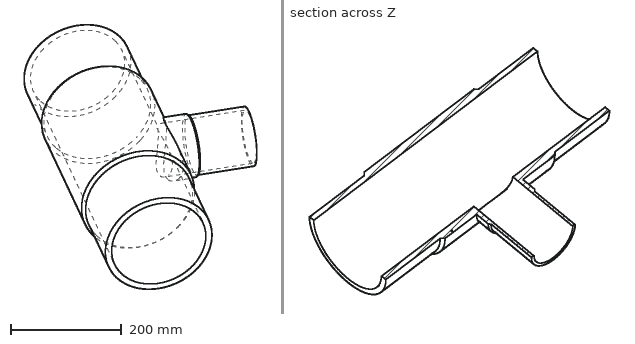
import cadquery as cq

run_length = 560.0
run_diameter = 200.0
wall_ratio = 17.0
run_bore = run_diameter * (1 - 2 / wall_ratio)

sleeve_length = 288.0
sleeve_diameter = 211.5
sleeve_chamfer_length = 7.0
sleeve_chamfer_depth = (sleeve_diameter - run_diameter) / 2

total_width = 351.0
branch_reach = total_width - sleeve_diameter / 2
branch_diameter = 110.0
branch_bore = branch_diameter * (1 - 2 / wall_ratio)
collar_diameter = 116.5
collar_reach = 139.5
collar_chamfer = (collar_diameter - branch_diameter) / 2


def run_cylinder(diameter, length):
    """Cylinder along X, centred on the origin."""
    return cq.Workplane("YZ").circle(diameter / 2).extrude(length / 2, both=True)


def branch_cylinder(diameter, reach):
    """Cylinder from the run axis out along +Y."""
    return cq.Workplane("XZ").circle(diameter / 2).extrude(-reach)


def make_sleeve():
    """Sleeve with conical ends that taper down to the run pipe."""
    half_length = sleeve_length / 2
    shoulder = half_length - sleeve_chamfer_length
    outer_radius = sleeve_diameter / 2
    end_radius = outer_radius - sleeve_chamfer_depth
    profile = (
        cq.Workplane("XY")
        .moveTo(-half_length, 0)
        .lineTo(-half_length, end_radius)
        .lineTo(-shoulder, outer_radius)
        .lineTo(shoulder, outer_radius)
        .lineTo(half_length, end_radius)
        .lineTo(half_length, 0)
        .close()
    )
    return profile.revolve(360, (0, 0, 0), (1, 0, 0))


def make_collar():
    """Branch collar with its outer end chamfered down to the branch pipe."""
    return branch_cylinder(collar_diameter, collar_reach).faces(">Y").chamfer(collar_chamfer)


outside = (
    run_cylinder(run_diameter, run_length)
    .union(make_sleeve())
    .union(make_collar())
    .union(branch_cylinder(branch_diameter, branch_reach))
)

result = (
    outside
    .cut(run_cylinder(run_bore, run_length))
    .cut(branch_cylinder(branch_bore, branch_reach))
)